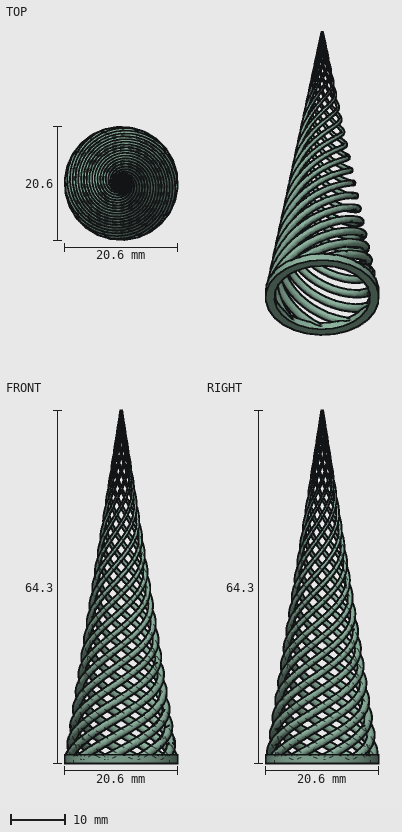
import cadquery as cq
import math

cone_height = 63.5
cone_base_diameter = 19.05
cone_tip_diameter = 0.286
twist_turns = 2

strand_count = 10
strand_diameter = 1.5875
strand_tip_diameter = 0.08
sections_per_turn = 12

ring_width = strand_diameter
ring_height = strand_diameter
foot_height = ring_height / 2

cone_base_radius = cone_base_diameter / 2
cone_tip_radius = cone_tip_diameter / 2
pitch_angle = 360 / strand_count
foot_lead_in = pitch_angle / 3
section_count = twist_turns * sections_per_turn


def blend(start, end, fraction):
    """Value at a fraction of the way from start to end."""
    return start + (end - start) * fraction


def strand_section(fraction):
    """Circle square to the centre line of the first strand, at a fraction of its rise."""
    radius = blend(cone_base_radius, cone_tip_radius, fraction)
    diameter = blend(strand_diameter, strand_tip_diameter, fraction)
    full_twist = 2 * math.pi * twist_turns
    angle = full_twist * fraction
    up = cq.Vector(0, 0, 1)
    outward = cq.Vector(math.cos(angle), math.sin(angle), 0)
    sideways = up.cross(outward)
    center = outward * radius + up * (foot_height + cone_height * fraction)
    tangent = (
        sideways * (radius * full_twist)
        + up * cone_height
        + outward * (cone_tip_radius - cone_base_radius)
    )
    plane = cq.Plane(origin=center, xDir=tangent.cross(sideways), normal=tangent)
    return cq.Workplane(plane).circle(diameter / 2).wires().val()


def make_strand():
    """One tapering strand with a constant lead, from mid-ring to the tip of the cone."""
    sections = [strand_section(i / section_count) for i in range(section_count + 1)]
    return cq.occ_impl.shapes.loft(sections, cap=True, compat=False)


def make_ring_sector():
    """The share of the flat base ring that carries the foot of the first strand."""
    return (
        cq.Workplane("XZ")
        .center(cone_base_radius, ring_height / 2)
        .rect(ring_width, ring_height)
        .revolve(pitch_angle, (-cone_base_radius, 0), (-cone_base_radius, 1))
        .rotate((0, 0, 0), (0, 0, 1), -foot_lead_in)
        .val()
    )


def is_sector_end(face):
    """True for the flat upright faces where neighbouring ring sectors meet."""
    return face.geomType() == "PLANE" and abs(face.normalAt().z) < 0.1


def make_part():
    """Skin of one strand with its ring sector, repeated around the axis and closed to a solid."""
    unit = make_ring_sector().fuse(make_strand())
    skin = [face for face in unit.Faces() if not is_sector_end(face)]
    faces = []
    for index in range(strand_count):
        faces += [face.rotate(cq.Vector(), cq.Vector(0, 0, 1), index * pitch_angle) for face in skin]
    shell = cq.occ_impl.shapes.shell(faces)
    return cq.occ_impl.shapes.solid(shell).clean()


result = cq.Workplane(make_part())